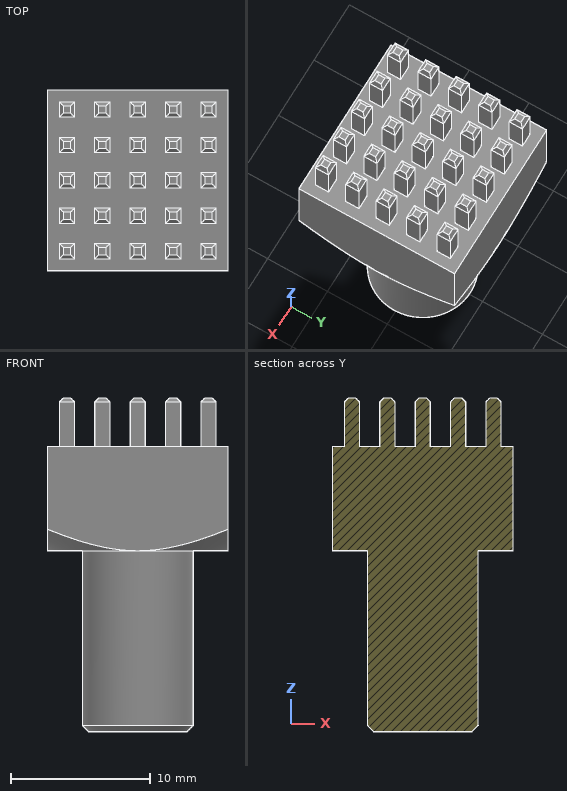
import cadquery as cq
import math

total_height = 24.0
shank_length = 13.0
block_height = 7.5
pin_height = total_height - shank_length - block_height

block_side = 13.0
corner_cone_angle = 30.0

shank_diameter = 8.0
shank_chamfer = 0.45

pins_per_side = 5
pin_pitch = 2.55
pin_side = 1.1
pin_tip_side = 0.53
pin_tip_height = 0.3

block_bottom = shank_length
block_top = block_bottom + block_height


def make_shank():
    """Round shank, chamfered at its free end."""
    radius = shank_diameter / 2
    profile = (
        cq.Workplane("XZ")
        .moveTo(0, 0)
        .lineTo(radius - shank_chamfer, 0)
        .lineTo(radius, shank_chamfer)
        .lineTo(radius, block_bottom)
        .lineTo(0, block_bottom)
        .close()
    )
    return profile.revolve(360, (0, 0, 0), (0, 1, 0))


def make_block():
    """Square block trimmed by a cone that starts at the middle of each lower edge."""
    inner_radius = block_side / 2
    outer_radius = block_side
    cone_rise = (outer_radius - inner_radius) * math.tan(math.radians(corner_cone_angle))
    block = (
        cq.Workplane("XY")
        .workplane(offset=block_bottom)
        .rect(block_side, block_side)
        .extrude(block_height)
    )
    envelope = (
        cq.Workplane("XZ")
        .moveTo(0, block_bottom)
        .lineTo(inner_radius, block_bottom)
        .lineTo(outer_radius, block_bottom + cone_rise)
        .lineTo(outer_radius, block_top)
        .lineTo(0, block_top)
        .close()
        .revolve(360, (0, 0, 0), (0, 1, 0))
    )
    return block.intersect(envelope)


def make_pins():
    """Grid of square pins, each ending in a truncated pyramid."""
    straight_height = pin_height - pin_tip_height
    stems = (
        cq.Workplane("XY")
        .workplane(offset=block_top)
        .rarray(pin_pitch, pin_pitch, pins_per_side, pins_per_side)
        .rect(pin_side, pin_side)
        .extrude(straight_height)
    )
    tip_taper = math.degrees(math.atan((pin_side - pin_tip_side) / 2 / pin_tip_height))
    tips = (
        cq.Workplane("XY")
        .workplane(offset=block_top + straight_height)
        .rarray(pin_pitch, pin_pitch, pins_per_side, pins_per_side)
        .rect(pin_side, pin_side)
        .extrude(pin_tip_height, taper=tip_taper)
    )
    return stems.union(tips)


result = make_shank().union(make_block()).union(make_pins())